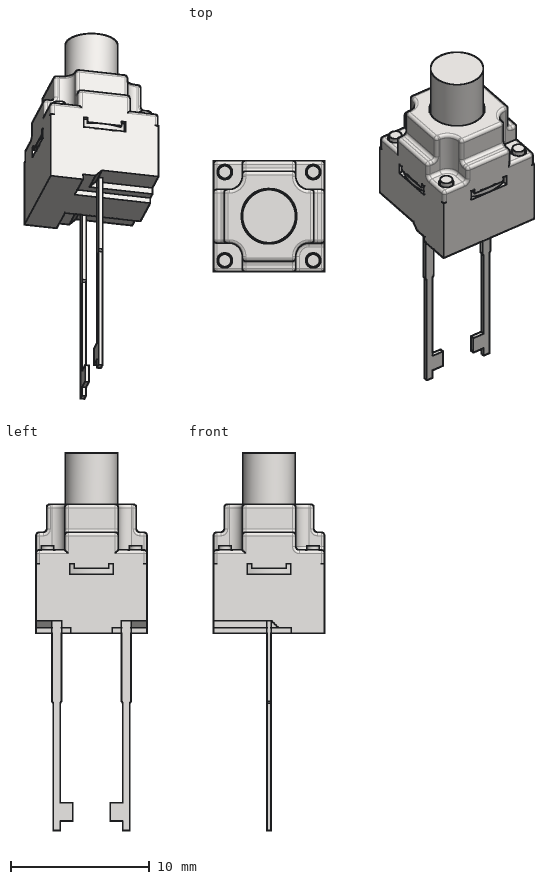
import cadquery as cq


half_body = 4.0
cover_bottom = 5.0
floor_height = 6.0
arm_top = 7.3
half_arm = 1.93
half_tower = 3.25
tower_top = 9.3
edge_radius = 0.25
floor_diameter = 1.4
pocket_radius = floor_diameter / 2 + edge_radius

touch = 0.005

plunger_diameter = 3.8
plunger_hole = 4.0
plunger_top = 13.0
overall_height = 27.2
pin_diameter = 0.9
pin_hole = 1.1
pin_top = 6.3
pin_offset = 3.18
gap_depth = 0.5

window_width = 3.1
window_bottom = 4.25
window_top = 5.03
tongue_width = 2.5
tongue_bottom = 4.68
bulge_radius = 3.54
bulge_setback = 0.014

step_height = 0.4
step_end = 1.6
step_inner_y = 1.5
groove_height = 0.9
groove_end = 0.2
groove_inner_y = 2.15

leg_thickness = 0.3
leg_center_y = 2.5
leg_bottom = plunger_top - overall_height
leg_wide = 0.7
leg_narrow = 0.52
taper_top = -4.87
taper_bottom = -5.03
foot_top = -12.19
foot_bottom = -13.52
foot_inner_y = 1.33


def block(x_min, x_max, y_min, y_max, z_min, z_max):
    size = (x_max - x_min, y_max - y_min, z_max - z_min)
    return cq.Workplane("XY").box(*size, centered=False).translate((x_min, y_min, z_min))


def square_prism(half_side, z_min, z_max):
    return block(-half_side, half_side, -half_side, half_side, z_min, z_max)


def cylinder(diameter, z_min, z_max, x=0, y=0):
    return cq.Workplane("XY", origin=(x, y, z_min)).circle(diameter / 2).extrude(z_max - z_min)


def pocketed_prism(half_side, top):
    """Square prism standing on the pocket floor, its corners notched by the four pockets."""
    prism = square_prism(half_side, floor_height, top)
    notch = square_prism(half_body, floor_height, top).edges("|Z").fillet(pocket_radius)
    notch_center = half_arm + half_body
    for x_sign in (-1, 1):
        for y_sign in (-1, 1):
            prism = prism.cut(notch.translate((x_sign * notch_center, y_sign * notch_center, 0)))
    return prism


def is_rounded(edge):
    """True for the edges of the sharp cover that carry the common edge radius."""
    box = edge.BoundingBox()
    middle = edge.Center()
    on_side_wall = max(abs(middle.x), abs(middle.y)) > half_body - touch
    above_floor = box.zmin > floor_height - touch
    above_arms = box.zmin > arm_top - touch
    on_floor = above_floor and box.zmax < floor_height + touch
    in_blended_pocket = middle.x > 0 and middle.y < 0
    return (on_side_wall and above_floor) or above_arms or (on_floor and in_blended_pocket)


def make_cover():
    slab = square_prism(half_body, cover_bottom, floor_height).edges("|Z").fillet(edge_radius)
    arms = pocketed_prism(half_body, arm_top)
    tower = pocketed_prism(half_tower, tower_top)
    cover = slab.union(arms).union(tower)
    rounded_edges = [edge for edge in cover.edges().vals() if is_rounded(edge)]
    return cover.newObject(rounded_edges).fillet(edge_radius)


def add_post(body, diameter, hole_diameter, surface, top, x=0, y=0):
    """Round post rising from the bottom of a wider blind hole."""
    hole_bottom = surface - gap_depth
    hole = cylinder(hole_diameter, hole_bottom, surface, x, y)
    return body.cut(hole).union(cylinder(diameter, hole_bottom, top, x, y))


def make_window():
    """Cutter for the window in the -Y side: U-shaped opening in front of an upright bulge."""
    front = -half_body
    half_window = window_width / 2
    half_tongue = tongue_width / 2
    bulge_center = front + bulge_setback + bulge_radius
    opening = block(-half_window, half_window, front, bulge_center, window_bottom, window_top)
    tongue = block(-half_tongue, half_tongue, front, bulge_center, tongue_bottom, window_top)
    bulge = cylinder(2 * bulge_radius, window_bottom, window_top, y=bulge_center)
    return opening.cut(tongue).cut(bulge)


def make_recess():
    """Cutter for the recess under the -Y side, open to the -X side."""
    step = block(-half_body, step_end, -half_body, -step_inner_y, 0, step_height)
    slope_run = groove_height - step_height
    groove = (
        cq.Workplane("XZ", origin=(0, -groove_inner_y, 0))
        .moveTo(-half_body, 0)
        .lineTo(-half_body, groove_height)
        .lineTo(groove_end, groove_height)
        .lineTo(groove_end + slope_run, step_height)
        .lineTo(groove_end + slope_run, 0)
        .close()
        .extrude(half_body - groove_inner_y)
    )
    return step.union(groove)


def make_leg():
    """Leg on the -Y side, hanging from the groove, with a foot pointing to the middle."""
    half_wide = leg_wide / 2
    half_narrow = leg_narrow / 2
    foot_tip = leg_center_y - foot_inner_y
    return (
        cq.Workplane("YZ", origin=(-leg_thickness / 2, -leg_center_y, 0))
        .moveTo(-half_wide, groove_height)
        .lineTo(-half_wide, taper_top)
        .lineTo(-half_narrow, taper_bottom)
        .lineTo(-half_narrow, leg_bottom)
        .lineTo(half_narrow, leg_bottom)
        .lineTo(half_narrow, foot_bottom)
        .lineTo(foot_tip, foot_bottom)
        .lineTo(foot_tip, foot_top)
        .lineTo(half_narrow, foot_top)
        .lineTo(half_narrow, taper_bottom)
        .lineTo(half_wide, taper_top)
        .lineTo(half_wide, groove_height)
        .close()
        .extrude(leg_thickness)
    )


body = square_prism(half_body, 0, cover_bottom).union(make_cover())

body = add_post(body, plunger_diameter, plunger_hole, tower_top, plunger_top)
for pin_x in (-pin_offset, pin_offset):
    for pin_y in (-pin_offset, pin_offset):
        body = add_post(body, pin_diameter, pin_hole, floor_height, pin_top, pin_x, pin_y)

window = make_window()
for turn in range(4):
    body = body.cut(window.rotate((0, 0, 0), (0, 0, 1), 90 * turn))

recess = make_recess()
leg = make_leg()
body = body.cut(recess).cut(recess.mirror("XZ"))
result = body.union(leg).union(leg.mirror("XZ"))